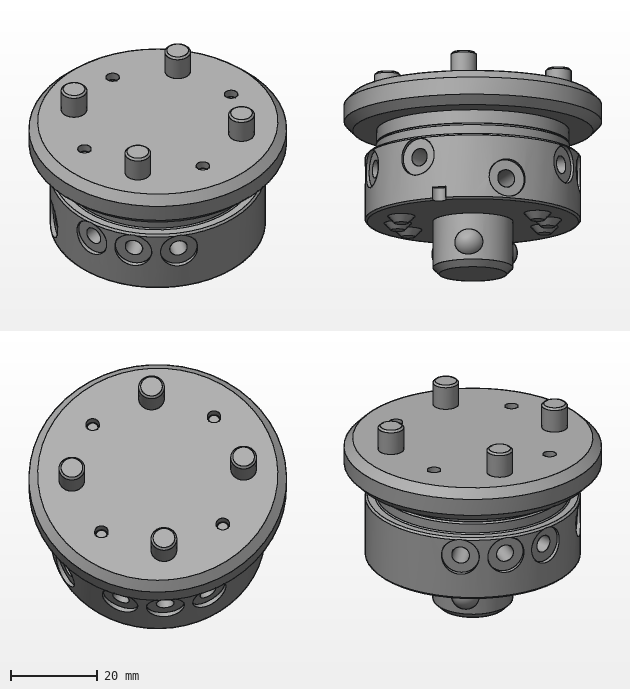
import cadquery as cq
import math


disc_diameter = 59.75
disc_thickness = 8.1
disc_chamfer = 2.05
neck_diameter = 44.65
neck_height = 3.1
pin_circle_radius = 19.95
pin_count = 4
pin_diameter = 6.0
pin_height = 6.0
pin_chamfer = 0.5

dowel_count = 4
dowel_diameter = 3.1
dowel_chamfer = 0.3
dowel_sink = 1.6

drum_diameter = 49.95
drum_height = 15.55
drum_chamfer = 0.5
collar_diameter = 45.0
collar_height = 3.0
collar_chamfer = 0.5
collar_foot_flare = 0.3
plug_diameter = 18.6
plug_length = 12.45
plug_chamfer = 1.5

ball_diameter = 7.0
ball_circle_radius = 7.5
ball_height = -6.75
ball_angles = [105, 225, 345]

seal_circle_radius = 17.5
seal_tip_diameter = 3.1
seal_height = 1.6
seal_angles = [110, 135, 160, 290, 315, 340]

port_hole_diameter = 4.1
supply_port_depth = 9.3
control_port_depth = 10.3
drill_point_angle = 118
spotface_diameter = 8.8
spotface_distance = 23.9
upper_port_height = 10.75
lower_port_height = 5.25
control_port_upper_angle = 200
control_port_lower_angle = 250

notch_diameter = 3.3
notch_height = 3.05
notch_angle = 212.8

collar_top = drum_height + collar_height
disc_bottom = collar_top + neck_height
disc_top = disc_bottom + disc_thickness


def polar(radius, angle, z=0.0):
    """Point at a radius and an angle in degrees about the Z axis."""
    turn = math.radians(angle)
    return (radius * math.cos(turn), radius * math.sin(turn), z)


def upright_cylinder(diameter, bottom, height):
    """Cylinder on the Z axis, starting at the given level."""
    return cq.Workplane("XY").workplane(offset=bottom).circle(diameter / 2).extrude(height)


def make_cone(bottom_diameter, top_diameter, height):
    """Cone on the Z axis, rising from Z = 0."""
    return cq.Workplane("XY").add(cq.Solid.makeCone(bottom_diameter / 2, top_diameter / 2, height))


def ring_angles(count, first_angle):
    """Evenly spaced angles around the full circle."""
    return [first_angle + i * 360 / count for i in range(count)]


pin_angles = ring_angles(pin_count, 45)
dowel_angles = ring_angles(dowel_count, 0)


def make_plate():
    """Disc, neck and pins, with through holes for the dowels."""
    disc = upright_cylinder(disc_diameter, disc_bottom, disc_thickness).edges().chamfer(disc_chamfer)
    plate = disc.union(upright_cylinder(neck_diameter, collar_top, neck_height))

    pin = upright_cylinder(pin_diameter, disc_top, pin_height).faces(">Z").chamfer(pin_chamfer)
    for angle in pin_angles:
        plate = plate.union(pin.translate(polar(pin_circle_radius, angle)))

    hole = upright_cylinder(dowel_diameter, collar_top, disc_top - collar_top)
    for angle in dowel_angles:
        plate = plate.cut(hole.translate(polar(pin_circle_radius, angle)))
    return plate


def make_dowel(angle):
    """Dowel ending flush with the neck underside and sunk below the disc top."""
    length = disc_top - dowel_sink - collar_top
    dowel = upright_cylinder(dowel_diameter, collar_top, length).faces(">Z").chamfer(dowel_chamfer)
    return dowel.translate(polar(pin_circle_radius, angle))


def make_collar():
    """Collar on the drum: flared foot and chamfered top edge."""
    collar = upright_cylinder(collar_diameter, drum_height, collar_height).faces(">Z").chamfer(collar_chamfer)
    foot_diameter = collar_diameter + 2 * collar_foot_flare
    foot = make_cone(foot_diameter, collar_diameter, collar_foot_flare)
    return collar.union(foot.translate((0, 0, drum_height)))


def make_seal():
    """Seal cone below the drum, on the Z axis."""
    base_diameter = seal_tip_diameter + 2 * seal_height
    return make_cone(seal_tip_diameter, base_diameter, seal_height).translate((0, 0, -seal_height))


def make_port_cutter(angle, height, depth):
    """Spotface and drilled hole pointing at the axis; depth is that of the straight bore."""
    radius = port_hole_diameter / 2
    point_length = radius / math.tan(math.radians(drill_point_angle / 2))
    bore_end = spotface_distance - depth
    drill = (
        cq.Workplane("XZ")
        .moveTo(bore_end - point_length, 0)
        .lineTo(bore_end, radius)
        .lineTo(spotface_distance, radius)
        .lineTo(spotface_distance, spotface_diameter / 2)
        .lineTo(drum_diameter, spotface_diameter / 2)
        .lineTo(drum_diameter, 0)
        .close()
        .revolve(360, (0, 0, 0), (1, 0, 0))
    )
    return drill.rotate((0, 0, 0), (0, 0, 1), angle).translate((0, 0, height))


def make_master():
    """Drum with collar, plug, balls and seals, cut by the ports and the notch."""
    master = upright_cylinder(drum_diameter, 0, drum_height).edges().chamfer(drum_chamfer)
    master = master.union(make_collar())

    plug = upright_cylinder(plug_diameter, -plug_length, plug_length).faces("<Z").chamfer(plug_chamfer)
    master = master.union(plug)

    ball = cq.Workplane("XY").sphere(ball_diameter / 2)
    for angle in ball_angles:
        master = master.union(ball.translate(polar(ball_circle_radius, angle, ball_height)))

    seal = make_seal()
    for angle in seal_angles:
        master = master.union(seal.translate(polar(seal_circle_radius, angle)))

    for angle in seal_angles:
        master = master.cut(make_port_cutter(angle, upper_port_height, supply_port_depth))
    master = master.cut(make_port_cutter(control_port_upper_angle, upper_port_height, control_port_depth))
    master = master.cut(make_port_cutter(control_port_lower_angle, lower_port_height, control_port_depth))

    notch = upright_cylinder(notch_diameter, 0, notch_height)
    return master.cut(notch.translate(polar(drum_diameter / 2, notch_angle)))


plate = make_plate()
dowels = [make_dowel(angle) for angle in dowel_angles]
master = make_master()

result = cq.Compound.makeCompound([plate.val(), master.val(), *[dowel.val() for dowel in dowels]])